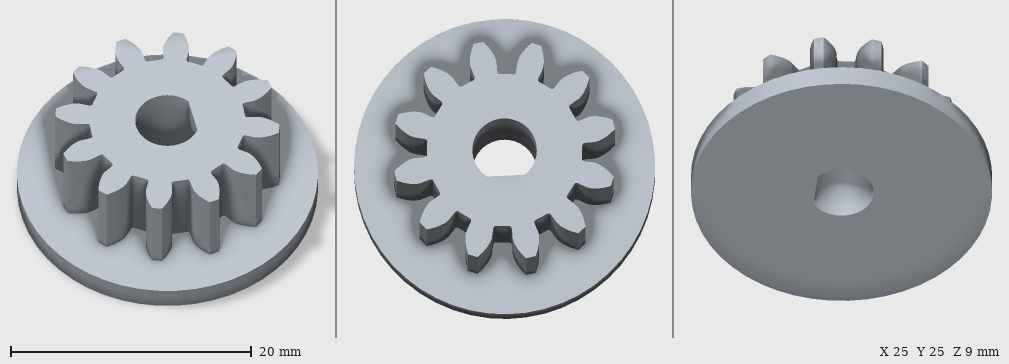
import cadquery as cq
import math

flange_diameter = 25.0
flange_thickness = 2.0

total_height = 9.0
tooth_count = 12
pitch_radius = 8.0
pressure_angle = math.radians(20.0)
root_clearance = 0.2
root_chamfer_height = 0.15
root_chamfer_width = 0.1
tooth_module = 2 * pitch_radius / tooth_count
tip_radius = pitch_radius + tooth_module
root_radius = pitch_radius - tooth_module - root_clearance
base_radius = pitch_radius * math.cos(pressure_angle)
flank_samples = 6

bore_diameter = 5.35
bore_flat_distance = 2.17
bore_flat_angle = -11.0


def involute(angle):
    """Polar angle swept by an involute at the given pressure angle."""
    return math.tan(angle) - angle


base_half_angle = math.pi / (2 * tooth_count) + involute(pressure_angle)

foot_half_angle = base_half_angle + root_chamfer_width / root_radius


def polar(radius, angle):
    """Cartesian point at the given radius and angle."""
    return (radius * math.cos(angle), radius * math.sin(angle))


def involute_flank(center_angle, side):
    """Involute points from base circle to tip; side is -1 or +1."""
    points = []
    for step in range(flank_samples + 1):
        radius = base_radius + (tip_radius - base_radius) * step / flank_samples
        half_angle = base_half_angle - involute(math.acos(base_radius / radius))
        points.append(polar(radius, center_angle + side * half_angle))
    return points


def tooth_foot(center_angle, side):
    """Ends of the small chamfer between the tooth gap and a radial flank."""
    gap_end = polar(root_radius, center_angle + side * foot_half_angle)
    flank_end = polar(root_radius + root_chamfer_height, center_angle + side * base_half_angle)
    return gap_end, flank_end


def make_gear():
    """Toothed body with radial flanks below the base circle and flat tooth gaps."""
    outline = cq.Workplane("XY").moveTo(*polar(root_radius, -foot_half_angle))
    for tooth in range(tooth_count):
        center_angle = 2 * math.pi * tooth / tooth_count
        rising_gap_end, rising_flank_end = tooth_foot(center_angle, -1)
        falling_gap_end, falling_flank_end = tooth_foot(center_angle, 1)
        rising = involute_flank(center_angle, -1)
        falling = involute_flank(center_angle, 1)[::-1]
        if tooth > 0:
            outline = outline.lineTo(*rising_gap_end)
        outline = outline.lineTo(*rising_flank_end).lineTo(*rising[0])
        outline = outline.spline(rising[1:], includeCurrent=True)
        outline = outline.lineTo(*falling[0])
        outline = outline.spline(falling[1:], includeCurrent=True)
        outline = outline.lineTo(*falling_flank_end).lineTo(*falling_gap_end)
    return outline.close().extrude(total_height)


def make_flange():
    """Round disc at the foot of the gear."""
    return cq.Workplane("XY").circle(flange_diameter / 2).extrude(flange_thickness)


def make_bore():
    """Through bore with one flat, turned about the axis."""
    bore = cq.Workplane("XY").circle(bore_diameter / 2).extrude(total_height)
    beyond_flat = (
        cq.Workplane("XY")
        .center(0, bore_flat_distance + bore_diameter / 2)
        .rect(bore_diameter, bore_diameter)
        .extrude(total_height)
    )
    d_bore = bore.cut(beyond_flat)
    return d_bore.rotate((0, 0, 0), (0, 0, 1), bore_flat_angle)


result = make_flange().union(make_gear()).cut(make_bore())